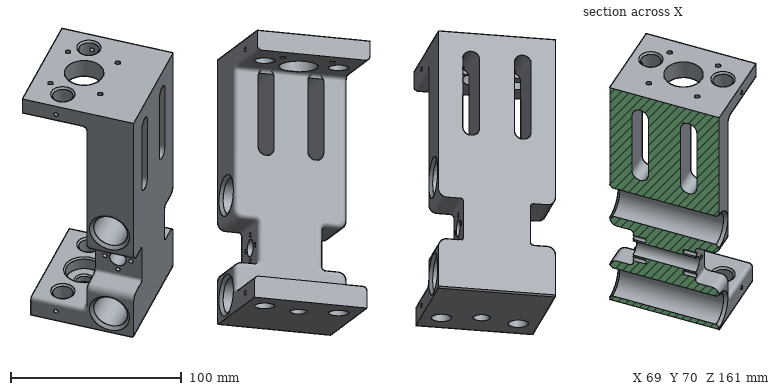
import cadquery as cq
import math

LENGTH = 69.0
WIDTH = 70.0
HEIGHT = 161.0

TOP_THICKNESS = 11.9
BOTTOM_THICKNESS = 13.0
WALL_THICKNESS = 29.8
BOTTOM_SETBACK = 5.2
BACK_CHAMFER = 1.0
WALL_X = LENGTH - WALL_THICKNESS
OPENING_TOP = HEIGHT - TOP_THICKNESS

EDGE_ROUND = 2.5
INNER_CORNER_ROUND = 2.4

NOTCH_DEPTH = 15.0
NOTCH_HEIGHT = 26.1
NOTCH_Z = 44.1
NOTCH_MOUTH_ROUND = 5.0
NOTCH_CORNER_ROUND = 2.0
NECK_HALF_WIDTH = WIDTH / 2 - NOTCH_DEPTH

BORE_BACK_DISTANCE = 15.0
BORE_X = LENGTH - BORE_BACK_DISTANCE
LOWER_BORE_Z = 14.2
UPPER_BORE_Z = 74.7
BORE_DIAMETER = 21.0
BORE_CHAMFER = 2.0
NECK_BORE_DIAMETER = 10.3
NECK_SCREW_DIAMETER = 2.5
NECK_SCREW_RADIUS = 8.0
NECK_SCREW_DEPTH = 8.0

PIN_X = 21.0
PIN_DIAMETER = 2.5
PIN_DEPTH = 8.0
TOP_PIN_DROP = 6.1
TOP_PIN_Z = HEIGHT - TOP_PIN_DROP
BOTTOM_PIN_Z = 7.0

ROD_X = 21.0
ROD_OFFSET_Y = 23.0
ROD_DIAMETER = 11.9
ROD_CHAMFER = 1.1

SPINDLE_X = 26.1
SPINDLE_TOP_DIAMETER = 23.0
SPINDLE_DIAMETER = 10.0
SPINDLE_CHAMFER = 1.0
SEAT_DIAMETER = 22.0
SEAT_CHAMFER = 1.0
SEAT_DEPTH = 8.0
SEAT_RIM_DIAMETER = SEAT_DIAMETER + 2 * SEAT_CHAMFER

RELIEF_WIDTH = 9.7
RELIEF_ROUND = 1.8

MOUNT_PITCH = 30.9
MOUNT_DIAMETER = 3.0

SLOT_WIDTH = 10.0
SLOT_OFFSET_Y = 15.5
SLOT_BOTTOM = 97.1
SLOT_TOP = 149.7

EPS = 0.02


def upright(x, y, z, diameter, height):
    """Vertical cylinder standing on z."""
    return cq.Workplane("XY", origin=(x, y, z)).circle(diameter / 2).extrude(height)


def countersink(x, y, top, diameter, chamfer):
    """Cone that breaks the upper rim of a vertical hole by a 45-degree chamfer."""
    radius = diameter / 2
    return cq.Workplane(cq.Solid.makeCone(radius, radius + chamfer, chamfer, cq.Vector(x, y, top - chamfer)))


def crosswise(x, z, diameter, start, depth):
    """Cylinder along +Y from y = start."""
    return cq.Workplane(
        cq.Solid.makeCylinder(diameter / 2, depth, cq.Vector(x, start, z), cq.Vector(0, 1, 0))
    )


def bracket():
    """C-shaped body with rounded inner corners and a chamfered lower back edge."""
    body = (
        cq.Workplane("XZ", origin=(0, WIDTH / 2, 0))
        .moveTo(0, HEIGHT)
        .lineTo(LENGTH, HEIGHT)
        .lineTo(LENGTH, BACK_CHAMFER)
        .lineTo(LENGTH - BACK_CHAMFER, 0)
        .lineTo(BOTTOM_SETBACK, 0)
        .lineTo(BOTTOM_SETBACK, BOTTOM_THICKNESS)
        .lineTo(WALL_X, BOTTOM_THICKNESS)
        .lineTo(WALL_X, OPENING_TOP)
        .lineTo(0, OPENING_TOP)
        .close()
        .extrude(WIDTH)
    )
    inner_corners = cq.selectors.BoxSelector(
        (WALL_X - EPS, -WIDTH, BOTTOM_THICKNESS - EPS), (WALL_X + EPS, WIDTH, OPENING_TOP + EPS)
    )
    return body.edges("|Y").edges(inner_corners).fillet(INNER_CORNER_ROUND)


def cut_notches(body):
    """Cut a notch in each side of the wall and round its four corners."""
    for side in (-1, 1):
        notch = cq.Workplane("XY").box(LENGTH, 2 * NOTCH_DEPTH, NOTCH_HEIGHT)
        body = body.cut(notch.translate((WALL_X + LENGTH / 2, side * WIDTH / 2, NOTCH_Z)))
    for y, radius in ((WIDTH / 2, NOTCH_MOUTH_ROUND), (NECK_HALF_WIDTH, NOTCH_CORNER_ROUND)):
        for side in (-1, 1):
            corners = cq.selectors.BoxSelector(
                (WALL_X, side * y - EPS, NOTCH_Z - NOTCH_HEIGHT / 2 - EPS),
                (LENGTH, side * y + EPS, NOTCH_Z + NOTCH_HEIGHT / 2 + EPS),
            )
            body = body.edges("|X").edges(corners).fillet(radius)
    return body


def round_inner_edges(body):
    """Round the side edges of the C opening, following the notches."""

    def on_opening_side(edge):
        middle = edge.Center()
        return (
            BOTTOM_SETBACK + EPS < middle.x < WALL_X + EPS
            and abs(middle.y) > NECK_HALF_WIDTH - EPS
            and BOTTOM_THICKNESS - EPS < middle.z < OPENING_TOP + EPS
        )

    return body.edges().filter(on_opening_side).fillet(EDGE_ROUND)


def cut_slots(body):
    """Cut two vertical round-ended slots through the wall."""
    slots = (
        cq.Workplane("YZ", origin=(WALL_X, 0, (SLOT_BOTTOM + SLOT_TOP) / 2))
        .pushPoints([(-SLOT_OFFSET_Y, 0), (SLOT_OFFSET_Y, 0)])
        .slot2D(SLOT_TOP - SLOT_BOTTOM, SLOT_WIDTH, 90)
        .extrude(WALL_THICKNESS)
    )
    return body.cut(slots)


def cut_side_holes(body):
    """Cut the holes along Y, the same on both sides."""
    for z in (LOWER_BORE_Z, UPPER_BORE_Z):
        body = body.cut(crosswise(BORE_X, z, BORE_DIAMETER, -WIDTH / 2, WIDTH))
        for side in (-1, 1):
            rim = cq.Solid.makeCone(
                BORE_DIAMETER / 2 + BORE_CHAMFER,
                BORE_DIAMETER / 2,
                BORE_CHAMFER,
                cq.Vector(BORE_X, side * WIDTH / 2, z),
                cq.Vector(0, -side, 0),
            )
            body = body.cut(cq.Workplane(rim))
    body = body.cut(crosswise(BORE_X, NOTCH_Z, NECK_BORE_DIAMETER, -WIDTH / 2, WIDTH))

    for dx, dz in ((1, 0), (0, 1), (-1, 0), (0, -1)):
        x = BORE_X + dx * NECK_SCREW_RADIUS
        z = NOTCH_Z + dz * NECK_SCREW_RADIUS
        for start in (-NECK_HALF_WIDTH, NECK_HALF_WIDTH - NECK_SCREW_DEPTH):
            body = body.cut(crosswise(x, z, NECK_SCREW_DIAMETER, start, NECK_SCREW_DEPTH))
    for z in (TOP_PIN_Z, BOTTOM_PIN_Z):
        for start in (-WIDTH / 2, WIDTH / 2 - PIN_DEPTH):
            body = body.cut(crosswise(PIN_X, z, PIN_DIAMETER, start, PIN_DEPTH))
    return body


def cut_seat_relief(body):
    """Tighten the lower inner corner to a smaller radius beside the seat."""
    sag = RELIEF_ROUND * (1 - math.sqrt(0.5))
    relief = (
        cq.Workplane("XZ", origin=(WALL_X, RELIEF_WIDTH / 2, BOTTOM_THICKNESS))
        .moveTo(-INNER_CORNER_ROUND, 0)
        .lineTo(-RELIEF_ROUND, 0)
        .threePointArc((-sag, sag), (0, RELIEF_ROUND))
        .lineTo(0, INNER_CORNER_ROUND)
        .lineTo(-INNER_CORNER_ROUND, INNER_CORNER_ROUND)
        .close()
        .extrude(RELIEF_WIDTH)
    )
    return body.cut(relief)


def cut_vertical_holes(body):
    """Cut the rod, spindle and mounting holes in the plates."""
    for y in (-ROD_OFFSET_Y, ROD_OFFSET_Y):
        body = body.cut(upright(ROD_X, y, 0, ROD_DIAMETER, HEIGHT))
        for top in (BOTTOM_THICKNESS, HEIGHT):
            body = body.cut(countersink(ROD_X, y, top, ROD_DIAMETER, ROD_CHAMFER))

    seat_floor = BOTTOM_THICKNESS - SEAT_DEPTH
    body = body.cut(upright(SPINDLE_X, 0, OPENING_TOP, SPINDLE_TOP_DIAMETER, TOP_THICKNESS))
    body = body.cut(upright(SPINDLE_X, 0, 0, SPINDLE_DIAMETER, seat_floor))
    body = body.cut(countersink(SPINDLE_X, 0, seat_floor, SPINDLE_DIAMETER, SPINDLE_CHAMFER))
    body = body.cut(upright(SPINDLE_X, 0, seat_floor, SEAT_DIAMETER, SEAT_DEPTH))
    body = body.cut(countersink(SPINDLE_X, 0, BOTTOM_THICKNESS, SEAT_DIAMETER, SEAT_CHAMFER))
    body = body.cut(upright(SPINDLE_X, 0, BOTTOM_THICKNESS, SEAT_RIM_DIAMETER, INNER_CORNER_ROUND))

    for x in (SPINDLE_X - MOUNT_PITCH / 2, SPINDLE_X + MOUNT_PITCH / 2):
        for y in (-MOUNT_PITCH / 2, MOUNT_PITCH / 2):
            body = body.cut(upright(x, y, OPENING_TOP, MOUNT_DIAMETER, TOP_THICKNESS))
    return body


body = bracket()
body = cut_notches(body)
body = round_inner_edges(body)
body = cut_slots(body)
body = cut_side_holes(body)
body = cut_seat_relief(body)
result = cut_vertical_holes(body)